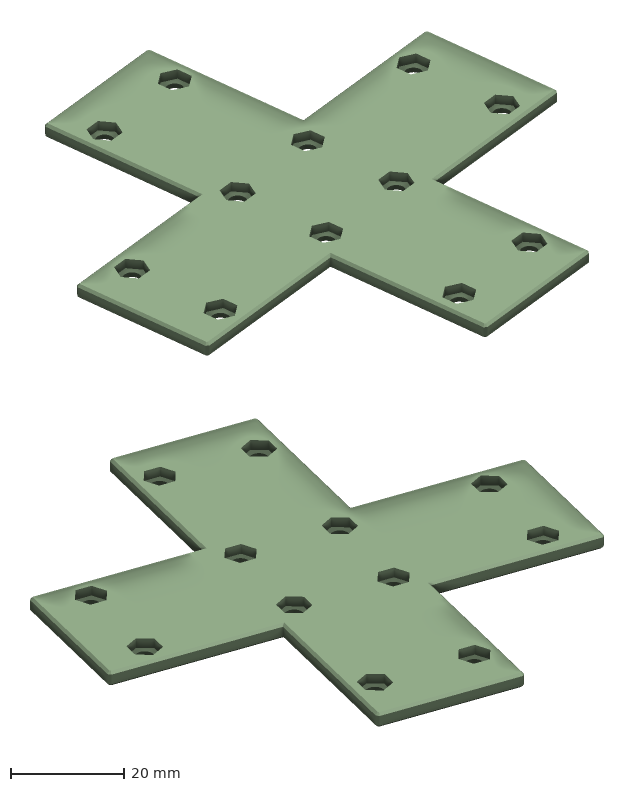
import cadquery as cq
import math

span = 99.8
arm_width = 29.8
thickness = 3.0
edge_chamfer = 0.5

inner_offset = 10.0
hole_spacing = 30.0
hole_diameter = 3.4
nut_across_flats = 5.6
nut_pocket_depth = 2.0

outer_offset = inner_offset + hole_spacing
nut_across_corners = nut_across_flats / math.cos(math.pi / 6)


def chamfered_cross():
    """Plus-shaped plate, centred on the origin, with every outer edge broken."""
    cross = (
        cq.Workplane("XY")
        .rect(span, arm_width)
        .extrude(thickness)
        .union(cq.Workplane("XY").rect(arm_width, span).extrude(thickness))
    )
    half_span = span / 2
    half_arm = arm_width / 2
    tips = [(sx * half_span, sy * half_arm) for sx in (-1, 1) for sy in (-1, 1)]
    tips += [(y, x) for x, y in tips]
    for x, y in tips:
        corner = cq.selectors.NearestToPointSelector((x, y, thickness / 2))
        cross = cross.edges("|Z").edges(corner).chamfer(edge_chamfer)
    return cross.faces("<Z or >Z").edges().chamfer(edge_chamfer)


def hole_positions():
    """Four holes around the centre and a pair near each arm tip."""
    signs = [(sx, sy) for sx in (-1, 1) for sy in (-1, 1)]
    offsets = [
        (inner_offset, inner_offset),
        (outer_offset, inner_offset),
        (inner_offset, outer_offset),
    ]
    return [(sx * x, sy * y) for sx, sy in signs for x, y in offsets]


def screw_hole(x, y):
    """Through hole and nut pocket; the hexagon turns 90 degrees between neighbouring quadrants."""
    turn = 90 if x * y > 0 else 0
    hole = cq.Workplane("XY").circle(hole_diameter / 2).extrude(thickness)
    pocket = (
        cq.Workplane("XY")
        .workplane(offset=thickness - nut_pocket_depth)
        .polygon(6, nut_across_corners)
        .extrude(nut_pocket_depth)
        .rotate((0, 0, 0), (0, 0, 1), turn)
    )
    return hole.union(pocket).translate((x, y, 0))


result = chamfered_cross()
for x, y in hole_positions():
    result = result.cut(screw_hole(x, y))